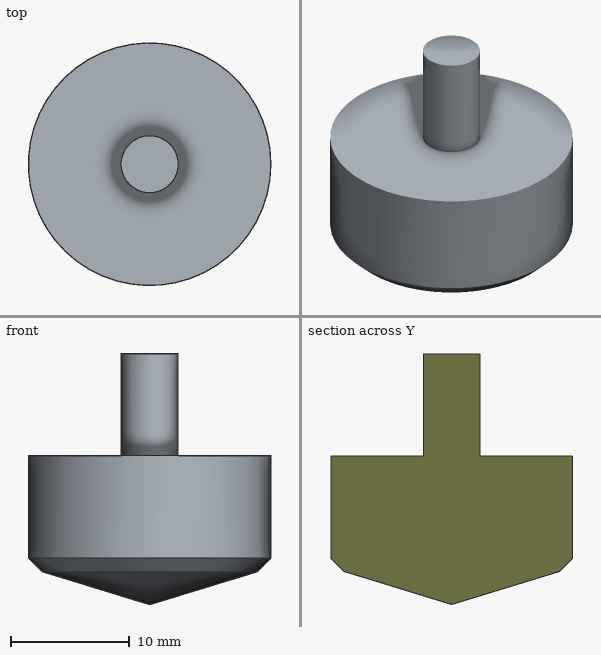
import cadquery as cq

total_height = 21.1
body_diameter = 20.4
pin_diameter = 4.8
pin_length = 8.57
chamfer_size = 1.15
cone_height = 2.76

body_radius = body_diameter / 2
pin_radius = pin_diameter / 2
cone_radius = body_radius - chamfer_size
rim_height = cone_height + chamfer_size
shoulder_height = total_height - pin_length

half_profile = (
    cq.Workplane("XZ")
    .moveTo(0, 0)
    .lineTo(cone_radius, cone_height)
    .lineTo(body_radius, rim_height)
    .lineTo(body_radius, shoulder_height)
    .lineTo(pin_radius, shoulder_height)
    .lineTo(pin_radius, total_height)
    .lineTo(0, total_height)
    .close()
)

result = half_profile.revolve(360, (0, 0, 0), (0, 1, 0))